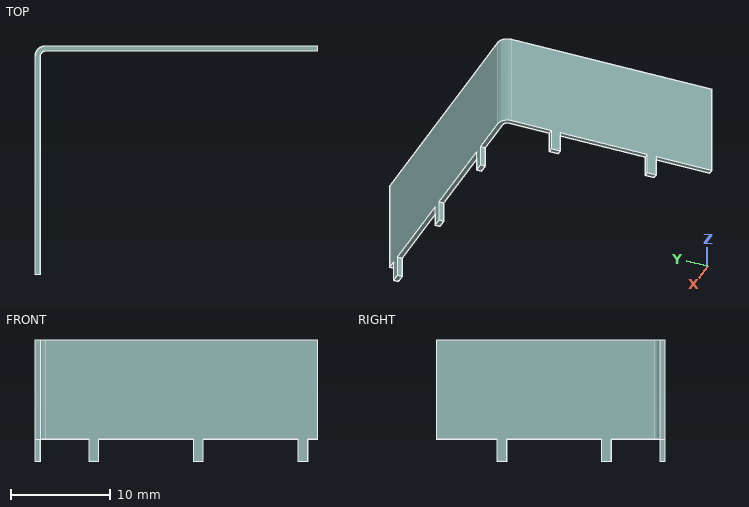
import cadquery as cq

length_x = 28.4
length_y = 23.0
total_height = 12.25
wall_height = 10.0

thickness = 0.55
inner_radius = 0.5
outer_radius = thickness + inner_radius

tab_width = 1.0
tab_height = total_height - wall_height
tab_pitch = 10.5
first_tab_offset = 5.9
tabs_along_x = 3
tabs_along_y = 2


def make_wall():
    """L-shaped sheet with its outer bend corner at the origin, legs along +X and -Y."""
    leg_x = cq.Workplane("XY").box(length_x, thickness, wall_height, centered=False)
    leg_x = leg_x.translate((0, -thickness, 0))
    leg_y = cq.Workplane("XY").box(thickness, length_y, wall_height, centered=False)
    leg_y = leg_y.translate((0, -length_y, 0))
    wall = leg_x.union(leg_y)
    inner_corner = cq.selectors.NearestToPointSelector((thickness, -thickness, wall_height / 2))
    wall = wall.edges("|Z").edges(inner_corner).fillet(inner_radius)
    outer_corner = cq.selectors.NearestToPointSelector((0, 0, wall_height / 2))
    return wall.edges("|Z").edges(outer_corner).fillet(outer_radius)


def make_tab(size_x, size_y, center_x, center_y):
    """Rectangular tab hanging below the wall."""
    tab = cq.Workplane("XY").box(size_x, size_y, tab_height)
    return tab.translate((center_x, center_y, -tab_height / 2))


result = make_wall()

for index in range(tabs_along_x):
    offset = first_tab_offset + index * tab_pitch
    result = result.union(make_tab(tab_width, thickness, offset, -thickness / 2))

for index in range(tabs_along_y):
    offset = first_tab_offset + index * tab_pitch
    result = result.union(make_tab(thickness, tab_width, thickness / 2, -offset))